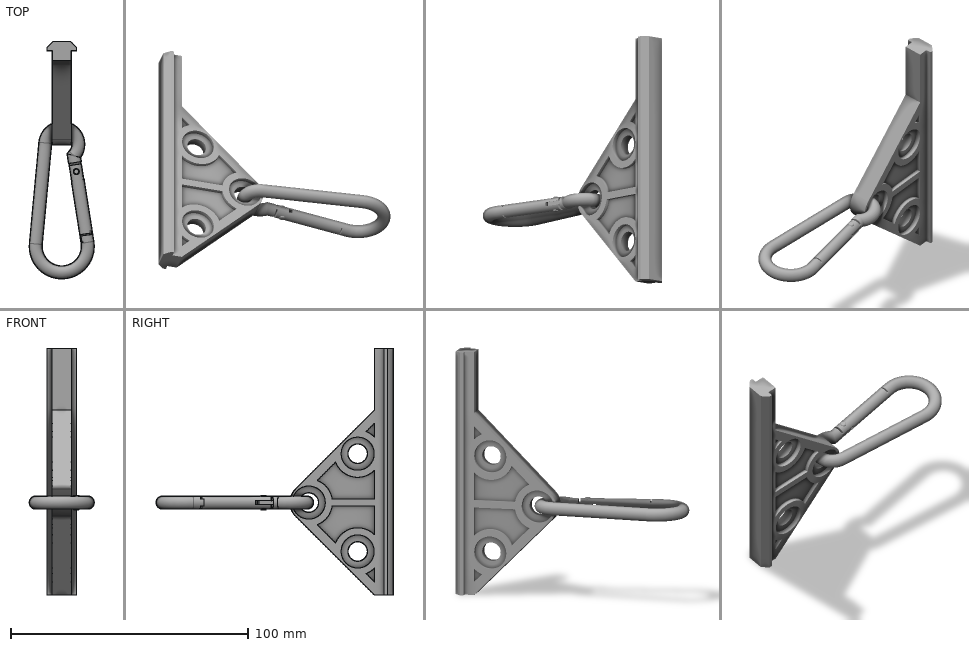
import cadquery as cq
import math


rail_length = 104.0
stem_width = 8.1
head_width = 12.6
head_chamfer = 2.6
head_thickness = 4.0
rail_depth = 8.0

gusset_half_height = 39.0
tip_radius = 8.0
hole_radius = 4.1
counterbore_radius = 7.0
counterbore_depth = 2.1
pocket_depth = 1.7
pocket_margin = 4.0
rail_hole_inset = 7.1
boss_radius = 10.0
middle_rib_width = 3.0

rail_bottom = -gusset_half_height
apex_y = -(rail_depth + gusset_half_height)
tip_y = apex_y + tip_radius * math.sqrt(2)
rail_hole_y = -(rail_depth + rail_hole_inset)
rail_hole_z = rail_hole_y - tip_y
hole_centers = [(tip_y, 0), (rail_hole_y, rail_hole_z), (rail_hole_y, -rail_hole_z)]

wire_diameter = 5.5
hook_width = 27.5
small_bend_radius = 7.0
small_bend_y = -43.4
overall_depth = 100.0
wire_radius = wire_diameter / 2
large_bend_radius = hook_width / 2 - wire_radius
large_bend_y = -overall_depth + hook_width / 2
nose_angle = math.radians(-43)

nose_length = 2.9
hinge_gap = 0.9
gate_length = 29.4
latch_gap = 0.6
hinge_slot_length = 6.7
tang_width = 5.0
tang_thickness = 1.7
tang_end_gap = 1.6
pin_offset = 2.9
pin_radius = 1.2
pin_overhang = 0.3
pin_chamfer = 0.26
tongue_length = 3.3
tongue_thickness = 3.0
stop_wall = 1.2
stop_height = 0.8


def on_arc(center_y, radius, angle):
    return (radius * math.cos(angle), center_y + radius * math.sin(angle))


left_angle = math.pi - math.asin((large_bend_radius - small_bend_radius) / (small_bend_y - large_bend_y))
nose_x, nose_y = on_arc(small_bend_y, small_bend_radius, nose_angle)
nose_to_center = math.hypot(nose_x, nose_y - large_bend_y)
gate_angle = math.asin(large_bend_radius / nose_to_center) - math.atan2(nose_x, nose_y - large_bend_y)
gate_axis_length = math.sqrt(nose_to_center**2 - large_bend_radius**2)

gate_start = nose_length + hinge_gap
gate_end = gate_start + gate_length
latch_start = gate_end + latch_gap
pin_distance = gate_start + pin_offset


def gate_point(distance):
    return (nose_x + distance * math.sin(gate_angle), nose_y - distance * math.cos(gate_angle))


def gate_plane(distance):
    """Plane across the gate axis: local x points out of the hook, local y is Z."""
    return cq.Plane(
        origin=(*gate_point(distance), 0),
        xDir=(math.cos(gate_angle), math.sin(gate_angle), 0),
        normal=(math.sin(gate_angle), -math.cos(gate_angle), 0),
    )


def round_bar(start, length):
    return cq.Workplane(gate_plane(start)).circle(wire_radius).extrude(length)


def flat_bar(start, length, inner, outer, thickness):
    """Rectangular bar along the gate axis, from inner to outer across it."""
    return (
        cq.Workplane(gate_plane(start))
        .center((inner + outer) / 2, 0)
        .rect(outer - inner, thickness)
        .extrude(length)
    )


def latch_tongue(start, length):
    """Flat on the inner side of the round bar, entering the wire from the gate."""
    flat = flat_bar(start, length, -wire_radius, wire_radius - stop_wall, tongue_thickness)
    return round_bar(start, length).intersect(flat)


def latch_stop(start, length):
    """Wall on the outer side of the round bar, entering the gate from the wire."""
    wall = flat_bar(start, length, wire_radius - stop_wall, wire_radius, tongue_thickness)
    return round_bar(start, length).intersect(wall)


def hinge_pin(bottom, top):
    return (
        cq.Workplane("XY", origin=(*gate_point(pin_distance), bottom))
        .circle(pin_radius)
        .extrude(top - bottom)
    )


def side_prism(corners, x_start, thickness):
    """Polygon of (y, z) corners extruded along +X."""
    return cq.Workplane("YZ", origin=(x_start, 0, 0)).polyline(corners).close().extrude(thickness)


def side_cylinders(centers, radius, x_start, thickness):
    return cq.Workplane("YZ", origin=(x_start, 0, 0)).pushPoints(centers).circle(radius).extrude(thickness)


def make_rail():
    half_head = head_width / 2
    half_stem = stem_width / 2
    right_side = [
        (half_head - head_chamfer, 0),
        (half_head, -head_chamfer),
        (half_head, -head_thickness),
        (half_stem, -head_thickness),
        (half_stem, -rail_depth),
    ]
    left_side = [(-x, y) for x, y in reversed(right_side)]
    return (
        cq.Workplane("XY", origin=(0, 0, rail_bottom))
        .polyline(right_side + left_side)
        .close()
        .extrude(rail_length)
    )


def make_gusset():
    tangent_offset = tip_radius / math.sqrt(2)
    tangent_y = tip_y - tangent_offset
    return (
        cq.Workplane("YZ", origin=(-stem_width / 2, 0, 0))
        .moveTo(-rail_depth, -gusset_half_height)
        .lineTo(tangent_y, -tangent_offset)
        .threePointArc((tip_y - tip_radius, 0), (tangent_y, tangent_offset))
        .lineTo(-rail_depth, gusset_half_height)
        .close()
        .extrude(stem_width)
    )


def make_pockets(x_start):
    half_height = gusset_half_height - pocket_margin * math.sqrt(2)
    triangle = [(-rail_depth, -half_height), (-rail_depth - half_height, 0), (-rail_depth, half_height)]
    middle_rib = cq.Workplane("XY").box(2 * rail_length, 2 * rail_length, middle_rib_width)
    return (
        side_prism(triangle, x_start, pocket_depth)
        .cut(side_cylinders(hole_centers, boss_radius, x_start, pocket_depth))
        .cut(middle_rib)
    )


def make_bracket():
    half_stem = stem_width / 2
    body = make_rail().union(make_gusset())
    body = body.cut(side_cylinders(hole_centers, hole_radius, -half_stem, stem_width))
    for x_start in (-half_stem, half_stem - counterbore_depth):
        body = body.cut(side_cylinders(hole_centers, counterbore_radius, x_start, counterbore_depth))
    for x_start in (-half_stem, half_stem - pocket_depth):
        body = body.cut(make_pockets(x_start))
    return body


def make_wire():
    """Smooth wire from the end of the small bend round to the latch."""
    top_angle = (nose_angle + left_angle) / 2
    path = (
        cq.Workplane("XY")
        .moveTo(nose_x, nose_y)
        .threePointArc(
            on_arc(small_bend_y, small_bend_radius, top_angle),
            on_arc(small_bend_y, small_bend_radius, left_angle),
        )
        .lineTo(*on_arc(large_bend_y, large_bend_radius, left_angle))
        .threePointArc((0, large_bend_y - large_bend_radius), gate_point(gate_axis_length))
        .lineTo(*gate_point(latch_start))
    )
    return cq.Workplane(bend_end_plane()).circle(wire_radius).sweep(path)


def bend_end_plane():
    """Plane across the end of the small bend, facing out of the wire."""
    direction = (math.sin(nose_angle), -math.cos(nose_angle), 0)
    return cq.Plane(origin=(nose_x, nose_y, 0), xDir=(0, 0, 1), normal=direction)


def make_nose():
    """Straight nose with a mitred corner where it leaves the small bend."""
    bend_extension = cq.Workplane(bend_end_plane()).circle(wire_radius).extrude(2 * wire_radius)
    corner = round_bar(-2 * wire_radius, 2 * wire_radius).intersect(bend_extension)
    return round_bar(0, nose_length).union(corner)


def make_hook():
    tang_length = hinge_gap + hinge_slot_length - tang_end_gap
    tang = flat_bar(nose_length, tang_length, -tang_width / 2, tang_width / 2, tang_thickness)
    tang = tang.cut(hinge_pin(-tang_thickness, tang_thickness))
    return (
        make_wire()
        .union(make_nose())
        .union(tang)
        .union(latch_stop(gate_end - stop_height, stop_height + latch_gap))
        .cut(latch_tongue(latch_start, tongue_length - latch_gap))
    )


def make_gate():
    pin_top = wire_radius + pin_overhang
    hinge_slot = flat_bar(gate_start, hinge_slot_length, -wire_radius, wire_radius, tang_thickness)
    return (
        round_bar(gate_start, gate_length)
        .cut(hinge_slot)
        .cut(latch_stop(gate_end - stop_height, stop_height))
        .union(latch_tongue(gate_end, tongue_length))
        .union(hinge_pin(-pin_top, pin_top).edges("%CIRCLE").chamfer(pin_chamfer))
    )


bracket = make_bracket()
hook = make_hook()
gate = make_gate()
result = cq.Compound.makeCompound([bracket.solids().val(), hook.solids().val(), gate.solids().val()])